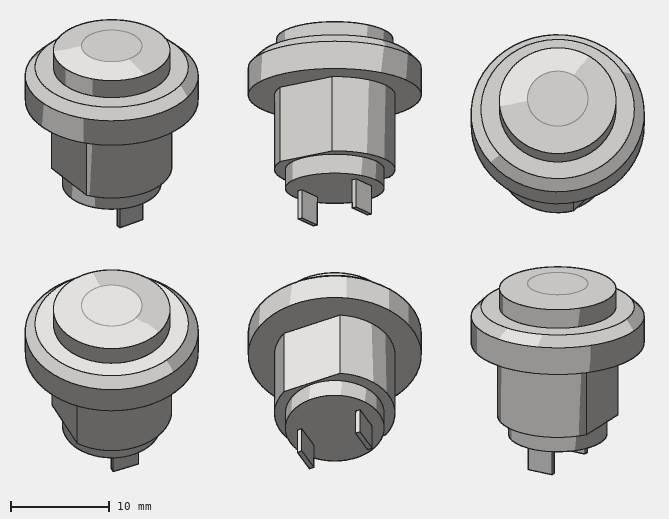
import cadquery as cq

pin_length = 3.0
base_height = 2.0
body_height = 7.9
flange_wall_height = 2.9
flange_chamfer = 1.0
cap_wall_height = 2.0
cap_crown_height = 0.5

base_diameter = 10.0
body_diameter = 12.2
body_across_flats = 10.45
flange_diameter = 17.5
cap_diameter = 11.8
crown_flat_diameter = 6.12

pin_thickness = 0.5
pin_width = 2.8
pin_spacing = 6.56

base_bottom = pin_length
body_bottom = base_bottom + base_height
flange_bottom = body_bottom + body_height
flange_height = flange_wall_height + flange_chamfer
cap_bottom = flange_bottom + flange_height
crown_bottom = cap_bottom + cap_wall_height


def disc(diameter, height, bottom):
    """Round section standing on the given level."""
    return cq.Workplane("XY").workplane(offset=bottom).circle(diameter / 2).extrude(height)


def make_body():
    """Round body with two flats facing -Y and +Y."""
    flats = (
        cq.Workplane("XY")
        .workplane(offset=body_bottom)
        .rect(body_diameter, body_across_flats)
        .extrude(body_height)
    )
    return disc(body_diameter, body_height, body_bottom).intersect(flats)


def make_flange():
    """Wide flange with a chamfered upper rim."""
    return disc(flange_diameter, flange_height, flange_bottom).faces(">Z").edges().chamfer(flange_chamfer)


def make_cap():
    """Button cap with a shallow conical crown and a flat centre."""
    crown = (
        cq.Workplane("XY")
        .workplane(offset=crown_bottom)
        .circle(cap_diameter / 2)
        .workplane(offset=cap_crown_height)
        .circle(crown_flat_diameter / 2)
        .loft(ruled=True)
    )
    return disc(cap_diameter, cap_wall_height, cap_bottom).union(crown)


def make_pins():
    """Pair of flat terminals below the base."""
    return (
        cq.Workplane("XY")
        .pushPoints([(-pin_spacing / 2, 0), (pin_spacing / 2, 0)])
        .rect(pin_thickness, pin_width)
        .extrude(pin_length)
    )


result = (
    disc(base_diameter, base_height, base_bottom)
    .union(make_body())
    .union(make_flange())
    .union(make_cap())
    .union(make_pins())
)